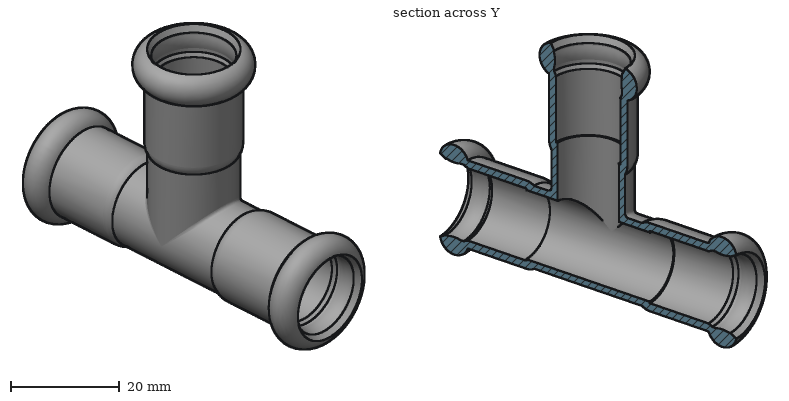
import cadquery as cq
import math

run_length = 68.8
branch_height = 39.2

bead_diameter = 22.7
socket_diameter = 18.3
body_diameter = 17.2

mouth_diameter = 17.2
lip_diameter = 15.7
seal_diameter = 15.3
socket_bore = 14.8
body_bore = 14.2

bead_width = 6.55
lip_front = 1.4
lip_back = 1.85
seal_back = 4.8
seat_front = 5.6
seat_back = 6.5
shoulder_front = 20.1
shoulder_back = 21.9

crotch_fillet = 0.7

mouth_radius = mouth_diameter / 2
socket_radius = socket_diameter / 2
body_radius = body_diameter / 2
bead_radius = bead_diameter / 2
lip_radius = lip_diameter / 2
run_half = run_length / 2


def shoulder_arc_middle():
    """Point halfway along the shoulder arc, which leaves the socket wall tangentially."""
    drop = socket_radius - body_radius
    length = shoulder_back - shoulder_front
    arc_radius = (length**2 + drop**2) / (2 * drop)
    half_angle = math.asin(length / arc_radius) / 2
    radius = socket_radius - arc_radius * (1 - math.cos(half_angle))
    return radius, shoulder_front + arc_radius * math.sin(half_angle)


def revolve_profile(profile):
    return profile.close().revolve(360, (0, 0, 0), (0, 1, 0))


def socket_outside(leg_length):
    """Solid outer form: bead, socket, shoulder and body, with the mouth plane at y = 0."""
    profile = (
        cq.Workplane("XY")
        .lineTo(mouth_radius, 0)
        .threePointArc((bead_radius, bead_width / 2), (socket_radius, bead_width))
        .lineTo(socket_radius, shoulder_front)
        .threePointArc(shoulder_arc_middle(), (body_radius, shoulder_back))
        .lineTo(body_radius, leg_length)
        .lineTo(0, leg_length)
    )
    return revolve_profile(profile)


def socket_inside(leg_length):
    """Solid form of the cavity: tapered mouth, lip, seal bulge, seat and bores."""
    seal_middle = (lip_back + seal_back) / 2
    profile = (
        cq.Workplane("XY")
        .lineTo(mouth_radius, 0)
        .lineTo(lip_radius, lip_front)
        .lineTo(lip_radius, lip_back)
        .threePointArc((seal_diameter / 2, seal_middle), (lip_radius, seal_back))
        .lineTo(lip_radius, seat_front)
        .lineTo(socket_bore / 2, seat_back)
        .lineTo(socket_bore / 2, shoulder_front)
        .lineTo(body_bore / 2, shoulder_front)
        .lineTo(body_bore / 2, leg_length)
        .lineTo(0, leg_length)
    )
    return revolve_profile(profile)


def mirrored_run(leg):
    """Run along X made of a leg and its mirror image, meeting at the centre."""
    left = leg.rotate((0, 0, 0), (0, 0, 1), -90).translate((-run_half, 0, 0))
    return left.union(left.mirror("YZ")).clean()


def upright_branch(leg):
    return leg.rotate((0, 0, 0), (1, 0, 0), -90).translate((0, 0, branch_height))


def miter_wedge():
    """Wedge above the two 45 degree planes on which the equal pipes meet."""
    return (
        cq.Workplane("XZ")
        .polyline([(0, 0), (branch_height, branch_height), (-branch_height, branch_height)])
        .close()
        .extrude(bead_diameter, both=True)
    )


def join_tee(make_leg):
    """Join the run and the branch along their mitre planes."""
    wedge = miter_wedge()
    run = mirrored_run(make_leg(run_half)).cut(wedge)
    branch = upright_branch(make_leg(branch_height)).intersect(wedge)
    return run.union(branch)


def filleted_outside():
    """Outer form with its crotch filleted, built from its +X half and turned for the rest.

    In each half the two pipes meet along the only ellipse; the fillet fades out at its ends.
    """
    half_space = cq.Workplane("XY").box(
        run_length, run_length, 2 * run_length, centered=(False, True, True)
    )
    half = join_tee(socket_outside).intersect(half_space)
    half = half.edges("%ELLIPSE").fillet(crotch_fillet)
    return half.union(half.rotate((0, 0, 0), (0, 0, 1), 180)).clean()


result = filleted_outside().cut(join_tee(socket_inside))